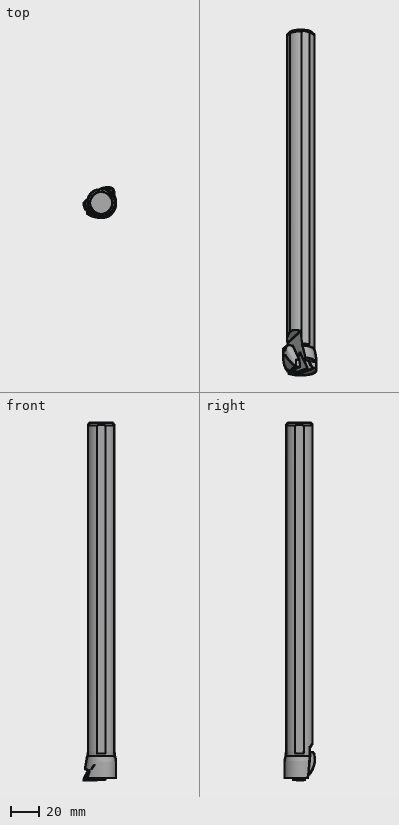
import cadquery as cq
import math

TOTAL_LENGTH = 255.2
SHANK_RADIUS = 10.0
FLAT_DISTANCE = 9.5
END_CHAMFER = 2.0
SHANK_END_Z = 20.5
FLAT_END_Z = 19.1
NECK_RADIUS = 9.7
NECK_BOTTOM_Z = 17.5

HEAD_TOP_Z = 16.5
HEAD_TOP_RADIUS = 10.2
HEAD_BOTTOM_Z = 1.8
HEAD_CONE_SLOPE = 0.17
WALL_RADIUS = 10.7
SIDE_START_X = 7.7
MIDDLE_BULGE = 0.13
CLEARANCE_RADIUS = 17.9
CLEARANCE_END_X = -12.8

INSERT_INSCRIBED_RADIUS = 4.5
INSERT_THICKNESS = 4.5
INSERT_CORNER_RADIUS = 0.38
TIP_X = -13.0
TIP_Y = -0.3
TIP_Z = 0.0
SIDE_TILT = 0.28
BACK_TILT = 0.1
EDGE_RISE = 0.02
INSERT_EDGE = 2 * math.sqrt(3) * INSERT_INSCRIBED_RADIUS

NOTCH_BOTTOM = (-10.0, HEAD_BOTTOM_Z)
NOTCH_INNER = (-8.2, 7.0)
NOTCH_OUTER = (-12.3, 8.5)

GULLET_NEAR_HEIGHT = 30.0
GULLET_FAR_HEIGHT = 22.0
GULLET_HALF_WIDTH = 12.8
GULLET_DEPTH = 15.3
GULLET_OVERRUN = 2.5
GULLET_RAMP_ANGLE = 40.0

HUMP_TOP_Z = 20.5
HUMP_BOTTOM_Z = 3.0
HUMP_EDGE_RADIUS = 2.0
HUMP_NOSE = (-4.8, 5.5)
HUMP_NOSE_BULGE = (-1.0, 9.7)
HUMP_CREST = (4.5, 11.2)
HUMP_BACK_BULGE = (8.2, 10.0)
HUMP_BACK = (9.5, 6.6)
HUMP_FOOT_Y = 5.9
HUMP_BELLY = (9.2, 7.7)
HUMP_WIDEST_Z = 14.8
HUMP_SHOULDER = (10.7, 19.0)
HUMP_TOP_Y = 9.5
HUMP_WALL_LOW = (-5.0, 7.7)
HUMP_WALL_HIGH_X = 1.0

REACH = 51.0


def rake_plane():
    """Plane of the rake face at the tip: local X to +X, local Y upward, normal into the head."""
    return cq.Plane(
        origin=(TIP_X, TIP_Y, TIP_Z),
        xDir=(1, SIDE_TILT + BACK_TILT * EDGE_RISE, EDGE_RISE),
        normal=(SIDE_TILT, -1, BACK_TILT),
    )


def make_shank():
    shank = (
        cq.Workplane("XZ")
        .moveTo(0, HEAD_TOP_Z)
        .lineTo(HEAD_TOP_RADIUS, HEAD_TOP_Z)
        .lineTo(NECK_RADIUS, NECK_BOTTOM_Z)
        .lineTo(SHANK_RADIUS, SHANK_END_Z)
        .lineTo(SHANK_RADIUS, TOTAL_LENGTH - END_CHAMFER)
        .lineTo(SHANK_RADIUS - END_CHAMFER, TOTAL_LENGTH)
        .lineTo(0, TOTAL_LENGTH)
        .close().revolve(360, (0, 0, 0), (0, 1, 0))
    )
    width = 2 * FLAT_DISTANCE
    square = cq.Workplane("XY").workplane(offset=FLAT_END_Z).rect(width, width).extrude(TOTAL_LENGTH)
    uncut_base = cq.Workplane("XY").circle(WALL_RADIUS).extrude(FLAT_END_Z)
    return shank.intersect(square.union(uncut_base))


def make_head():
    height = HEAD_TOP_Z - HEAD_BOTTOM_Z
    bottom_radius = HEAD_TOP_RADIUS + HEAD_CONE_SLOPE * height
    cone = (
        cq.Workplane("XY").workplane(offset=HEAD_BOTTOM_Z).circle(bottom_radius)
        .workplane(offset=height).circle(HEAD_TOP_RADIUS).loft()
    )

    def clearance_y(x):
        center_y = CLEARANCE_RADIUS - WALL_RADIUS
        return center_y - math.sqrt(CLEARANCE_RADIUS**2 - x**2)

    side_y = -math.sqrt(WALL_RADIUS**2 - SIDE_START_X**2)
    middle_angle = math.asin(SIDE_START_X / WALL_RADIUS) / 2
    middle_radius = WALL_RADIUS + MIDDLE_BULGE
    middle = (middle_radius * math.sin(middle_angle), -middle_radius * math.cos(middle_angle))
    wall = (
        cq.Workplane("XY").workplane(offset=HEAD_BOTTOM_Z)
        .moveTo(0, -WALL_RADIUS)
        .threePointArc(middle, (SIDE_START_X, side_y))
        .threePointArc((WALL_RADIUS, 0), (0, WALL_RADIUS))
        .lineTo(CLEARANCE_END_X, WALL_RADIUS)
        .lineTo(CLEARANCE_END_X, clearance_y(CLEARANCE_END_X))
        .threePointArc((CLEARANCE_END_X / 2, clearance_y(CLEARANCE_END_X / 2)), (0, -WALL_RADIUS))
        .close().extrude(height)
    )
    return cone.intersect(wall)


def make_insert():
    apex = (INSERT_EDGE / 2, 3 * INSERT_INSCRIBED_RADIUS)
    return (
        cq.Workplane(rake_plane())
        .polyline([(0, 0), (INSERT_EDGE, 0), apex]).close()
        .extrude(INSERT_THICKNESS)
        .edges(cq.selectors.ParallelDirSelector(rake_plane().zDir))
        .fillet(INSERT_CORNER_RADIUS)
    )


def relief_notch():
    outline = [NOTCH_BOTTOM, NOTCH_INNER, NOTCH_OUTER, (-REACH, NOTCH_OUTER[1]), (-REACH, HEAD_BOTTOM_Z)]
    return cq.Workplane("XZ").polyline(outline).close().extrude(REACH, both=True)


def chip_gullet():
    """Everything above the rake plane, ending in a ramp that climbs to the shank surface."""
    left = -TIP_X - GULLET_HALF_WIDTH
    right = -TIP_X + GULLET_HALF_WIDTH
    outline = [
        (left, -GULLET_OVERRUN),
        (right, -GULLET_OVERRUN),
        (right, GULLET_FAR_HEIGHT),
        (left, GULLET_NEAR_HEIGHT),
    ]
    return (
        cq.Workplane(rake_plane()).polyline(outline).close()
        .extrude(-GULLET_DEPTH, taper=-GULLET_RAMP_ANGLE)
    )


def clamp_hump():
    """Plan, side and wall outlines intersected, then trimmed to rest on the rake plane."""
    plan = (
        cq.Workplane("XY").workplane(offset=HUMP_BOTTOM_Z)
        .moveTo(HUMP_NOSE[0], 0)
        .lineTo(*HUMP_NOSE)
        .threePointArc(HUMP_NOSE_BULGE, HUMP_CREST)
        .threePointArc(HUMP_BACK_BULGE, HUMP_BACK)
        .lineTo(HUMP_BACK[0], 0)
        .close().extrude(HUMP_TOP_Z - HUMP_BOTTOM_Z)
    )
    side = (
        cq.Workplane("YZ")
        .moveTo(0, HUMP_BOTTOM_Z)
        .lineTo(HUMP_FOOT_Y, HUMP_BOTTOM_Z)
        .threePointArc(HUMP_BELLY, (HUMP_CREST[1], HUMP_WIDEST_Z))
        .lineTo(*HUMP_SHOULDER)
        .lineTo(HUMP_TOP_Y, HUMP_TOP_Z)
        .lineTo(0, HUMP_TOP_Z)
        .close().extrude(REACH, both=True)
    )
    wall = (
        cq.Workplane("XZ")
        .moveTo(HUMP_WALL_LOW[0], HUMP_BOTTOM_Z)
        .lineTo(*HUMP_WALL_LOW)
        .lineTo(HUMP_WALL_HIGH_X, HUMP_TOP_Z)
        .lineTo(REACH, HUMP_TOP_Z)
        .lineTo(REACH, HUMP_BOTTOM_Z)
        .close().extrude(REACH, both=True)
    )
    above_rake = cq.Workplane(rake_plane()).rect(2 * REACH, 2 * REACH).extrude(-REACH)
    near_wall_edge = cq.selectors.NearestToPointSelector((*HUMP_NOSE_BULGE, HUMP_WIDEST_Z))
    body = plan.intersect(side).intersect(wall)
    return body.edges(near_wall_edge).fillet(HUMP_EDGE_RADIUS).intersect(above_rake)


insert = make_insert()
bar = (
    make_shank().union(make_head())
    .cut(chip_gullet())
    .union(clamp_hump())
    .cut(relief_notch())
    .cut(insert)
)

result = cq.Compound.makeCompound([bar.val(), insert.val()])